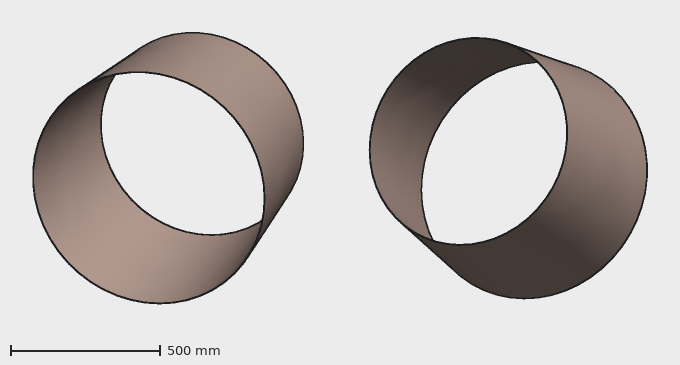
import cadquery as cq

wide_diameter = 813.0
narrow_diameter = 711.0
length = 610.0
wall = 3.0


def frustum(wide_radius, narrow_radius):
    """Solid cone stump along Y, from the wide end to the narrow end."""
    half_section = [
        (0, 0),
        (wide_radius, 0),
        (narrow_radius, length),
        (0, length),
    ]
    return cq.Workplane("XY").polyline(half_section).close().revolve(360, (0, 0, 0), (0, 1, 0))


outer = frustum(wide_diameter / 2, narrow_diameter / 2)
bore = frustum(wide_diameter / 2 - wall, narrow_diameter / 2 - wall)

result = outer.cut(bore)